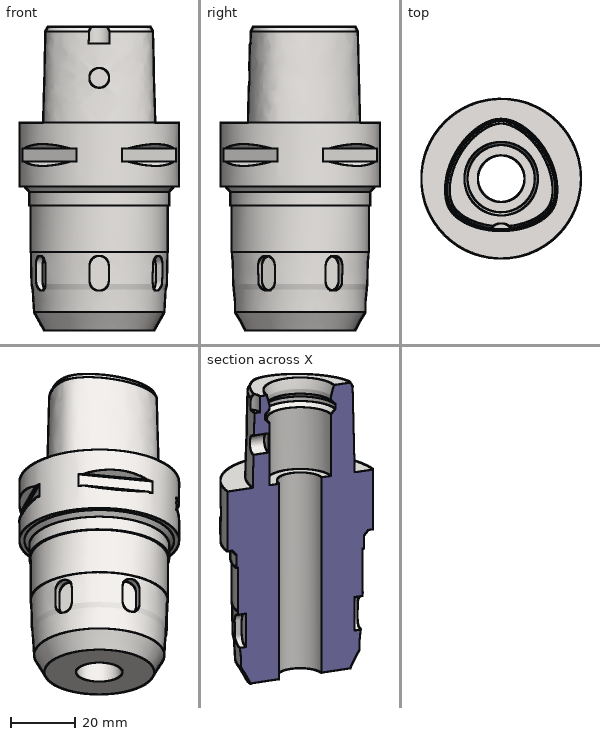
import cadquery as cq
import math


shank_height = 30.0
shank_base_radius = 17.57
shank_taper = 1 / 40
lobe_count = 3
lobe_offset = 1.16
shank_chamfer_height = 1.5
shank_chamfer_inset = 0.8
outline_points = 48

bore_radius = 10.5
bore_mouth_radius = 11.5
bore_mouth_depth = 3.5
bore_depth = shank_height
groove_radius = 12.0
groove_top_depth = 5.0
groove_bottom_depth = 9.5
through_radius = 7.25

notch_radius = 4.1
notch_tip_y = -13.95
notch_depth = 5.3
recess_radius = 3.1
recess_z = 14.0
recess_floor_y = -11.0

flange_radius = 25.0
flange_height = 20.0
flange_rim_radius = 23.4
collar_radius = 21.9
collar_top_z = -21.6
collar_bottom_z = -25.9
sleeve_radius = 21.5
nut_top_z = -40.4
nut_top_radius = 21.4
nut_step_top_z = -50.5
nut_step_top_radius = 21.2
nut_step_bottom_z = -52.2
nut_step_bottom_radius = 20.8
nut_cone_z = -59.2
nut_cone_radius = 20.4
bottom_z = -65.0
bottom_radius = 17.15

gripper_count = 4
gripper_floor_distance = 22.0
gripper_wall_depth = 0.8
gripper_floor_height = 4.0
gripper_center_z = -10.1
gripper_flare_angle = 33.0
gripper_overcut = 1.0

slot_count = 6
slot_width = 6.0
slot_length = 10.9
slot_center_z = -47.05
slot_floor_distance = 18.7


def trilobe(z, radius):
    """Closed trilobe wire at height z, with the given mean radius."""

    def point(t):
        angle = 2 * math.pi * t
        support = radius + lobe_offset * math.cos(lobe_count * angle)
        slope = -lobe_count * lobe_offset * math.sin(lobe_count * angle)
        along_lobe = support * math.cos(angle) - slope * math.sin(angle)
        across_lobe = support * math.sin(angle) + slope * math.cos(angle)
        return (-across_lobe, along_lobe, z)

    points = [cq.Vector(*point(i / outline_points)) for i in range(outline_points)]
    return cq.Wire.assembleEdges([cq.Edge.makeSpline(points, periodic=True)])


def make_shank():
    chamfer_z = shank_height - shank_chamfer_height
    chamfer_radius = shank_base_radius - shank_taper * chamfer_z
    base = trilobe(0, shank_base_radius)
    chamfer_start = trilobe(chamfer_z, chamfer_radius)
    end = trilobe(shank_height, chamfer_radius - shank_chamfer_inset)
    taper = cq.Solid.makeLoft([base, chamfer_start], True)
    chamfer = cq.Solid.makeLoft([chamfer_start, end], True)
    return cq.Workplane(obj=taper).union(cq.Workplane(obj=chamfer))


def revolve_profile(points):
    """Turn an (r, z) outline around the Z axis."""
    return cq.Workplane("XZ").polyline(points).close().revolve(360, (0, 0, 0), (0, 1, 0))


def make_body():
    return revolve_profile([
        (0, 0),
        (flange_radius, 0),
        (flange_radius, -flange_height),
        (flange_rim_radius, -flange_height),
        (collar_radius, collar_top_z),
        (collar_radius, collar_bottom_z),
        (sleeve_radius, collar_bottom_z),
        (sleeve_radius, nut_top_z),
        (nut_top_radius, nut_top_z),
        (nut_step_top_radius, nut_step_top_z),
        (nut_step_bottom_radius, nut_step_bottom_z),
        (nut_cone_radius, nut_cone_z),
        (bottom_radius, bottom_z),
        (0, bottom_z),
    ])


def make_bore():
    groove_flank = groove_radius - bore_radius
    top = shank_height
    return revolve_profile([
        (0, top),
        (bore_mouth_radius, top),
        (bore_radius, top - bore_mouth_depth),
        (bore_radius, top - groove_top_depth),
        (groove_radius, top - groove_top_depth - groove_flank),
        (groove_radius, top - groove_bottom_depth + groove_flank),
        (bore_radius, top - groove_bottom_depth),
        (bore_radius, top - bore_depth),
        (through_radius, top - bore_depth),
        (through_radius, bottom_z),
        (0, bottom_z),
    ])


def make_key_notch():
    return (
        cq.Workplane("XY", origin=(0, notch_tip_y - notch_radius, shank_height - notch_depth))
        .circle(notch_radius)
        .extrude(notch_depth)
    )


def make_round_recess():
    return (
        cq.Workplane("XZ", origin=(0, recess_floor_y, recess_z))
        .circle(recess_radius)
        .extrude(flange_radius + recess_floor_y)
    )


def make_gripper_notch():
    """Straight bar with a flared mouth across the +X side of the flange."""
    outer_x = flange_radius + gripper_overcut
    half_floor = gripper_floor_height / 2
    flare_x = gripper_floor_distance + gripper_wall_depth
    half_mouth = half_floor + (outer_x - flare_x) * math.tan(math.radians(gripper_flare_angle))
    return (
        cq.Workplane("XZ", origin=(0, 0, gripper_center_z))
        .polyline([
            (gripper_floor_distance, -half_floor),
            (flare_x, -half_floor),
            (outer_x, -half_mouth),
            (outer_x, half_mouth),
            (flare_x, half_floor),
            (gripper_floor_distance, half_floor),
        ])
        .close()
        .extrude(flange_radius, both=True)
    )


def make_spanner_slot():
    """Upright flat-bottomed slot in the +X side of the nut."""
    return (
        cq.Workplane("YZ", origin=(slot_floor_distance, 0, slot_center_z))
        .slot2D(slot_length, slot_width, 90)
        .extrude(flange_radius - slot_floor_distance)
    )


def cut_around(part, cutter, count, first_angle):
    """Cut copies of the cutter evenly spaced around the Z axis."""
    for i in range(count):
        angle = first_angle + i * 360 / count
        part = part.cut(cutter.rotate((0, 0, 0), (0, 0, 1), angle))
    return part


result = make_body().union(make_shank())
result = result.cut(make_bore())
result = result.cut(make_key_notch())
result = result.cut(make_round_recess())
result = cut_around(result, make_gripper_notch(), gripper_count, 45)
result = cut_around(result, make_spanner_slot(), slot_count, -90)